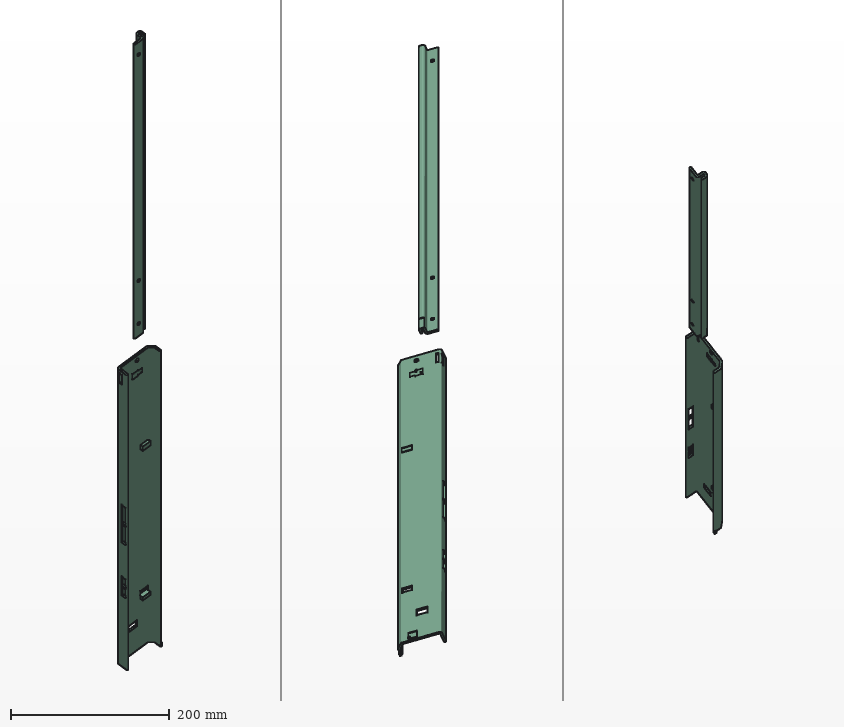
import cadquery as cq


CHANNEL_BOTTOM = 2.0
CHANNEL_TOP = 551.0
CHANNEL_WIDTH = 61.0
CHANNEL_SHEET = 3.0
CHANNEL_BEND_RADIUS = 1.7
LOWER_FACE_Y = -31.0
UPPER_FACE_Y = LOWER_FACE_Y + CHANNEL_WIDTH
WEB_FACE_X = 1.0
FLANGE_TIP_X = 20.0
SLOPED_CORNER = 6.6
WEB_INNER_X = WEB_FACE_X + CHANNEL_SHEET
WEB_LIMITS = (WEB_FACE_X, WEB_INNER_X)

FOOT_LENGTH_X = 3.0
FOOT_HEIGHT = 6.0
FOOT_FLARE = 1.0

WINDOW_Y = -5.2
WINDOW_Z = 52.8
WINDOW_WIDTH = 15.0
WINDOW_HEIGHT = 11.0

HOOK_Y = 15.0
HOOK_WIDTH = 14.0
HOOK_REACH = 4.1
HOOK_HEIGHT = 6.0
SLOT_HEIGHT = 8.0
SLOT_Z = 103.0
DENT_Z = 376.0
DENT_HEIGHT = 8.0
DENT_DEPTH = 1.0

STOP_Y = 7.5
STOP_Z = 12.0
STOP_SIZE = 12.0
STOP_DEPTH = 1.0
STOP_TAB_WIDTH = 2.9
STOP_TAB_HEIGHT = 2.0

FLANGE_WINDOW_PAIRS = [(268.0, 70.0), (152.0, 35.0)]
FLANGE_WINDOW_X = 13.0
FLANGE_WINDOW_WIDTH = 7.5
WINDOW_BRIDGE = 2.0

BEND_SLOT_Y = -25.0
BEND_SLOT_WIDTH = 3.6
BEND_SLOT_Z = 536.0
BEND_SLOT_HEIGHT = 17.0
BEND_POCKET_X = 7.0
BEND_POCKET_WIDTH = 6.0
BEND_POCKET_DEPTH = 1.5

INDEX_HOLE_Y = 2.0
INDEX_HOLE_Z = 542.0
INDEX_HOLE_DIAMETER = 6.0

LATCH_Y = -1.0
LATCH_Z = 517.0
LATCH_SIZE = 10.0
EAR_WIDTH = 7.0
EAR_HEIGHT = 7.5
PRONG_WIDTH = 1.0
PRONG_OFFSET = 3.1
PRONG_HEIGHT = 3.0

RAIL_BOTTOM = 612.0
RAIL_TOP = 1160.0
RAIL_SHEET = CHANNEL_SHEET
RAIL_BEND_RADIUS = 1.7
RAIL_WEB_FACE_X = 22.0
RAIL_HOOK_X = 8.7
RAIL_LIP_X = 19.0
RAIL_WEB_EDGE_Y = -20.3
RAIL_FLANGE_Y = -6.0
RAIL_LIP_Y = 2.9
RAIL_HOLE_Y = -13.0
RAIL_HOLE_HEIGHTS = [636.0, 716.0, 1137.0]
RAIL_HOLE_DIAMETER = 5.0

RELIEF_HEIGHT = 19.0
RELIEF_DEPTH = 1.0


def span(centre, size):
    """Limits of a stretch given by its centre and size."""
    return (centre - size / 2, centre + size / 2)


def block(x_limits, y_limits, z_limits):
    """Solid block between the given limits."""
    x0, x1 = x_limits
    y0, y1 = y_limits
    z0, z1 = z_limits
    return cq.Workplane("XY").box(x1 - x0, y1 - y0, z1 - z0, centered=False).translate((x0, y0, z0))


def folded_sheet(centre_line, bend_radius, thickness, bottom, top):
    """Bent sheet with rounded edges, extruded along Z from its profile centre line."""
    path = cq.Wire.makePolygon([cq.Vector(x, y, bottom) for x, y in centre_line])
    path = path.fillet(bend_radius, path.Vertices()[1:-1])
    outline = path.offset2D(thickness / 2, "arc")[0]
    return cq.Workplane(cq.Solid.extrudeLinear(outline, [], cq.Vector(0, 0, top - bottom)))


def cross_hole(x_limits, y, z, diameter):
    """Cylinder along X between the given limits."""
    x0, x1 = x_limits
    return cq.Workplane("YZ", origin=(x0, y, z)).circle(diameter / 2).extrude(x1 - x0)


def latch_outline(x_limits):
    """Square plate and ear of the latch, with the given X limits."""
    plate_edge_y = LATCH_Y + LATCH_SIZE / 2
    ear_y = (plate_edge_y, plate_edge_y + EAR_WIDTH)
    plate = block(x_limits, span(LATCH_Y, LATCH_SIZE), span(LATCH_Z, LATCH_SIZE))
    return plate.union(block(x_limits, ear_y, span(LATCH_Z, EAR_HEIGHT)))


def make_channel_profile():
    """C-shaped sheet with one square and one sloped corner, and a foot under the +Y flange tip."""
    half_sheet = CHANNEL_SHEET / 2
    tip_x = FLANGE_TIP_X - half_sheet
    web_x = WEB_FACE_X + half_sheet
    lower_y = LOWER_FACE_Y + half_sheet
    upper_y = UPPER_FACE_Y - half_sheet
    centre_line = [
        (tip_x, lower_y),
        (web_x, lower_y),
        (web_x, upper_y - SLOPED_CORNER),
        (web_x + SLOPED_CORNER, upper_y),
        (tip_x, upper_y),
    ]
    sheet = folded_sheet(centre_line, CHANNEL_BEND_RADIUS, CHANNEL_SHEET, CHANNEL_BOTTOM, CHANNEL_TOP)
    foot_x = (FLANGE_TIP_X - FOOT_LENGTH_X, FLANGE_TIP_X)
    foot_y = (upper_y, UPPER_FACE_Y + FOOT_FLARE)
    return sheet.union(block(foot_x, foot_y, (0, FOOT_HEIGHT)))


def add_lanced_hooks(channel):
    """Open slot and closed dent in the web, each with its hook on the inner face."""
    hook_y = span(HOOK_Y, HOOK_WIDTH)
    hook_x = (WEB_INNER_X, WEB_INNER_X + HOOK_REACH)
    slot_bottom = SLOT_Z - SLOT_HEIGHT / 2
    channel = channel.cut(block(WEB_LIMITS, hook_y, span(SLOT_Z, SLOT_HEIGHT)))
    channel = channel.union(block(hook_x, hook_y, (slot_bottom - HOOK_HEIGHT, slot_bottom)))
    dent_x = (WEB_FACE_X, WEB_FACE_X + DENT_DEPTH)
    channel = channel.cut(block(dent_x, hook_y, span(DENT_Z, DENT_HEIGHT)))
    return channel.union(block(hook_x, hook_y, span(DENT_Z, DENT_HEIGHT)))


def add_stop(channel):
    """Shallow recess near the bottom of the web, with a proud tab at its +Y side."""
    recess_x = (WEB_FACE_X, WEB_FACE_X + STOP_DEPTH)
    recess_top = STOP_Y + STOP_SIZE / 2
    tab_y = (recess_top - STOP_TAB_WIDTH, recess_top)
    tab_bottom = STOP_Z - STOP_SIZE / 2
    channel = channel.cut(block(recess_x, span(STOP_Y, STOP_SIZE), span(STOP_Z, STOP_SIZE)))
    return channel.union(block((0, WEB_INNER_X), tab_y, (tab_bottom, tab_bottom + STOP_TAB_HEIGHT)))


def cut_flange_windows(channel):
    """Pairs of windows through the -Y flange, a narrow bridge between the two of each pair."""
    window_x = span(FLANGE_WINDOW_X, FLANGE_WINDOW_WIDTH)
    flange_y = (LOWER_FACE_Y, LOWER_FACE_Y + CHANNEL_SHEET)
    for centre_z, pair_length in FLANGE_WINDOW_PAIRS:
        window_length = (pair_length - WINDOW_BRIDGE) / 2
        for side in (-1, 1):
            window_z = centre_z + side * (WINDOW_BRIDGE + window_length) / 2
            channel = channel.cut(block(window_x, flange_y, span(window_z, window_length)))
    return channel


def cut_bend_openings(channel):
    """Web slot and flange pocket next to the -Y bend."""
    z_limits = span(BEND_SLOT_Z, BEND_SLOT_HEIGHT)
    pocket_y = (LOWER_FACE_Y, LOWER_FACE_Y + BEND_POCKET_DEPTH)
    channel = channel.cut(block(WEB_LIMITS, span(BEND_SLOT_Y, BEND_SLOT_WIDTH), z_limits))
    return channel.cut(block(span(BEND_POCKET_X, BEND_POCKET_WIDTH), pocket_y, z_limits))


def make_channel():
    """Finished channel with all its hooks, stops and openings."""
    channel = add_lanced_hooks(make_channel_profile())
    channel = add_stop(channel)
    channel = cut_flange_windows(channel)
    window = block(WEB_LIMITS, span(WINDOW_Y, WINDOW_WIDTH), span(WINDOW_Z, WINDOW_HEIGHT))
    channel = channel.cut(window)
    channel = cut_bend_openings(channel)
    channel = channel.cut(cross_hole(WEB_LIMITS, INDEX_HOLE_Y, INDEX_HOLE_Z, INDEX_HOLE_DIAMETER))
    return channel.cut(latch_outline(WEB_LIMITS))


def make_latch():
    """Plate filling its opening in the web, with one prong high on one side and one low on the other."""
    latch = latch_outline(WEB_LIMITS)
    prong_centre_z = (LATCH_SIZE - PRONG_HEIGHT) / 2
    for side in (-1, 1):
        prong_y = span(LATCH_Y + side * PRONG_OFFSET, PRONG_WIDTH)
        prong_z = span(LATCH_Z + side * prong_centre_z, PRONG_HEIGHT)
        latch = latch.union(block((0, WEB_INNER_X), prong_y, prong_z))
    return latch


def make_rail():
    """Flat web with its +Y edge folded into a hook, a row of holes and a stepped lower end."""
    half_sheet = RAIL_SHEET / 2
    web_x = RAIL_WEB_FACE_X - half_sheet
    hook_x = RAIL_HOOK_X + half_sheet
    flange_y = RAIL_FLANGE_Y + half_sheet
    lip_y = RAIL_LIP_Y - half_sheet
    centre_line = [
        (web_x, RAIL_WEB_EDGE_Y + half_sheet),
        (web_x, flange_y),
        (hook_x, flange_y),
        (hook_x, lip_y),
        (RAIL_LIP_X - half_sheet, lip_y),
    ]
    rail = folded_sheet(centre_line, RAIL_BEND_RADIUS, RAIL_SHEET, RAIL_BOTTOM, RAIL_TOP)
    hole_x = (RAIL_WEB_FACE_X - RAIL_SHEET, RAIL_WEB_FACE_X)
    for hole_z in RAIL_HOLE_HEIGHTS:
        rail = rail.cut(cross_hole(hole_x, RAIL_HOLE_Y, hole_z, RAIL_HOLE_DIAMETER))
    relief_x = (RAIL_HOOK_X, RAIL_HOOK_X + RELIEF_DEPTH)
    relief_z = (RAIL_BOTTOM, RAIL_BOTTOM + RELIEF_HEIGHT)
    return rail.cut(block(relief_x, (RAIL_FLANGE_Y, RAIL_LIP_Y), relief_z))


channel = make_channel()
latch = make_latch()
rail = make_rail()

result = cq.Compound.makeCompound([body.solids().val() for body in (channel, latch, rail)])